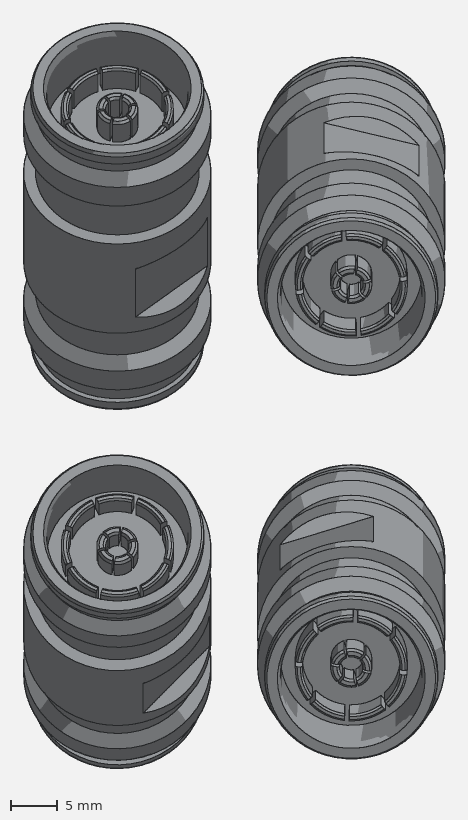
import cadquery as cq
import math

length = 43.0
body_diameter = 20.0
neck_radius = 8.75
center_band_height = 14.95

lip_radius = 9.25
lip_depth = 1.5
lip_nose_radius = 9.0
lip_nose_depth = 0.4
lip_ease_radius = 9.2
lip_ease_depth = 0.7

collar_start = 3.3
collar_band_height = 3.15
shoulder_height = 1.2

flat_distance = 8.5
flat_height = 8.05
flat_center_z = -1.0
flat_run_out_angle = 30.0

socket_radius = 7.52
socket_depth = 6.4
mouth_radius = 7.85
mouth_depth = 1.05
throat_radius = 7.6
throat_depth = 0.6
contact_tip_depth = 3.22

finger_outer_radius = 5.98
finger_inner_radius = 5.2
finger_tip_chamfer = 0.2
finger_count = 8
finger_gap = 0.5

contact_outer_radius = 2.2
contact_inner_radius = 1.25
contact_tip_chamfer = 0.25
contact_slot_count = 6
contact_slot_width = 0.25

body_radius = body_diameter / 2
half_length = length / 2
contact_height = socket_depth - contact_tip_depth
socket_floor_z = half_length - socket_depth


def make_body():
    """Solid of revolution whose outline is symmetric about mid-length."""
    half_band = center_band_height / 2
    lip_bottom = half_length - lip_depth
    collar_top = half_length - collar_start
    band_top = collar_top - shoulder_height
    band_bottom = band_top - collar_band_height
    collar_bottom = band_bottom - shoulder_height
    upper_outline = [
        (body_radius, half_band),
        (neck_radius, half_band),
        (neck_radius, collar_bottom),
        (body_radius, band_bottom),
        (body_radius, band_top),
        (neck_radius, collar_top),
        (neck_radius, lip_bottom),
        (lip_radius, lip_bottom),
        (lip_radius, half_length - lip_ease_depth),
        (lip_ease_radius, half_length - lip_nose_depth),
        (lip_nose_radius, half_length),
        (0, half_length),
    ]
    lower_outline = [(radius, -z) for radius, z in reversed(upper_outline)]
    return (
        cq.Workplane("XZ")
        .polyline(lower_outline + upper_outline)
        .close()
        .revolve(360, (0, 0), (0, 1))
    )


def make_flat_cutter(side):
    """Trapezoidal prism that leaves a flat with sloped run-outs; side is -1 or +1."""
    cut_depth = body_radius - flat_distance
    run_out = cut_depth * math.tan(math.radians(flat_run_out_angle))
    bottom = flat_center_z - flat_height / 2
    top = flat_center_z + flat_height / 2
    return (
        cq.Workplane("XZ")
        .moveTo(side * flat_distance, bottom)
        .lineTo(side * flat_distance, top)
        .lineTo(side * body_radius, top + run_out)
        .lineTo(side * body_radius, bottom - run_out)
        .close()
        .extrude(body_radius, both=True)
    )


def make_socket_cutter():
    """Upper socket with a mouth that narrows over two cones to the main bore."""
    return (
        cq.Workplane("XZ")
        .moveTo(0, socket_floor_z)
        .lineTo(socket_radius, socket_floor_z)
        .lineTo(socket_radius, half_length - mouth_depth)
        .lineTo(throat_radius, half_length - throat_depth)
        .lineTo(mouth_radius, half_length)
        .lineTo(0, half_length)
        .close()
        .revolve(360, (0, 0), (0, 1))
    )


def make_slotted_tube(outer_radius, inner_radius, tip_chamfer, slot_width, slot_angles):
    """Tube on the upper socket floor, chamfered at the tip and slotted to the floor."""
    tube = (
        cq.Workplane("XY")
        .workplane(offset=socket_floor_z)
        .circle(outer_radius)
        .circle(inner_radius)
        .extrude(contact_height)
        .faces(">Z")
        .edges()
        .chamfer(tip_chamfer)
    )
    for angle in slot_angles:
        slot = (
            cq.Workplane("XY")
            .workplane(offset=socket_floor_z)
            .center(outer_radius / 2, 0)
            .rect(outer_radius, slot_width)
            .extrude(contact_height)
            .rotate((0, 0, 0), (0, 0, 1), angle)
        )
        tube = tube.cut(slot)
    return tube


finger_pitch = 360 / finger_count
finger_gap_angles = [(i + 0.5) * finger_pitch for i in range(finger_count)]
contact_slot_angles = [i * 360 / contact_slot_count for i in range(contact_slot_count)]

socket = make_socket_cutter()
fingers = make_slotted_tube(
    finger_outer_radius, finger_inner_radius, finger_tip_chamfer, finger_gap, finger_gap_angles
)
contact = make_slotted_tube(
    contact_outer_radius,
    contact_inner_radius,
    contact_tip_chamfer,
    contact_slot_width,
    contact_slot_angles,
)
end_cutter = socket.cut(fingers).cut(contact)

body = make_body()
for side in (-1, 1):
    body = body.cut(make_flat_cutter(side))

result = body.cut(end_cutter).cut(end_cutter.mirror("XY"))